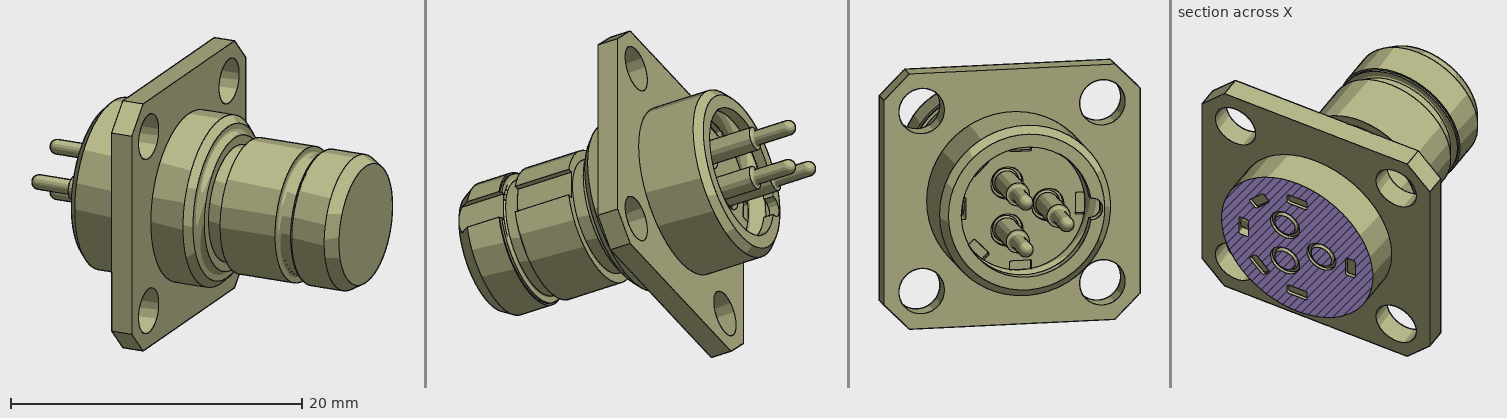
import cadquery as cq
import math


flange_size = 18.0
flange_start = 9.45
flange_end = 11.0
flange_corner_chamfer = 1.8
mount_hole_radius = 1.6
mount_hole_offset = 6.35

body_radius = 6.0
body_start = 4.68
body_end = 13.96
body_chamfer = 0.51
collar_fillet = 0.4
collar_end = 14.48

sleeve_radius = 4.75
neck_radius = 4.1
neck_end = 15.68
groove_radius = 4.16
groove_start = 19.87
groove_end = 21.15
groove_front_fillet = 0.2
groove_rear_fillet = 0.12
groove_lip_radius = 4.63
groove_lip_length = 0.15
nose_start = 23.62
nose_radius = 4.25
overall_length = 24.5
keyway_width = 2.15
keyway_floor_radius = 4.25

cavity_radius = 4.58
cavity_floor = 6.65
lip_thickness = 0.74
undercut_radius = 5.35
ring_tube_radius = 0.83
ring_gap = 0.3
lip_notch_radius = 0.75

slot_inner_radius = 3.85
slot_width = 1.55
slot_depth = 0.45
slot_corner_radius = 0.12
slot_angles = (0, 45, 90, 180, 270, 315)
ridge_angle = 0
ridge_radius = slot_width / 2
ridge_chamfer = 0.15

pin_count = 3
pin_circle_radius = 1.9
first_pin_angle = 60
pin_tip_radius = 0.51
pin_shank_radius = 0.8
pin_shank_start = 3.1
pin_fillet = 0.2
pin_root_radius = 0.93
pin_root_length = 0.25
pin_recess_radius = 1.13
pin_recess_depth = 0.45


def revolved(outline):
    """Turn an XY outline into a solid around the X axis."""
    return outline.close().revolve(360, (0, 0, 0), (1, 0, 0))


def cylinder_along_x(radius, start, end, y=0):
    return cq.Workplane("YZ", origin=(start, y, 0)).circle(radius).extrude(end - start)


def turned_by(shape, angle):
    """Turn a shape around the X axis; angle 0 is +Y and 90 is +Z."""
    return shape.rotate((0, 0, 0), (1, 0, 0), angle)


def make_flange():
    thickness = flange_end - flange_start
    plate = (
        cq.Workplane("YZ", origin=(flange_start, 0, 0))
        .rect(flange_size, flange_size)
        .extrude(thickness)
        .edges("|X")
        .chamfer(flange_corner_chamfer)
    )
    hole_pitch = 2 * mount_hole_offset
    holes = (
        cq.Workplane("YZ", origin=(flange_start, 0, 0))
        .rect(hole_pitch, hole_pitch, forConstruction=True)
        .vertices()
        .circle(mount_hole_radius)
        .extrude(thickness)
    )
    return plate.cut(holes)


def fillet_middle(corner_x, corner_radius, fillet, direction):
    """Middle point of a concave fillet; direction is +1 if it leaves the corner toward +X."""
    sag = fillet * (1 - math.sqrt(0.5))
    return (corner_x + direction * sag, corner_radius + sag)


def make_body():
    chamfered_radius = body_radius - body_chamfer
    lip_start = groove_end - groove_lip_length
    return revolved(
        cq.Workplane("XY")
        .moveTo(body_start, 0)
        .lineTo(body_start, chamfered_radius)
        .lineTo(body_start + body_chamfer, body_radius)
        .lineTo(body_end - body_chamfer, body_radius)
        .lineTo(body_end, chamfered_radius)
        .lineTo(body_end, sleeve_radius + collar_fillet)
        .threePointArc(
            fillet_middle(body_end, sleeve_radius, collar_fillet, 1),
            (body_end + collar_fillet, sleeve_radius),
        )
        .lineTo(collar_end, sleeve_radius)
        .lineTo(collar_end, neck_radius)
        .lineTo(neck_end, neck_radius)
        .lineTo(neck_end, sleeve_radius)
        .lineTo(groove_start, sleeve_radius)
        .lineTo(groove_start, groove_radius + groove_front_fillet)
        .threePointArc(
            fillet_middle(groove_start, groove_radius, groove_front_fillet, 1),
            (groove_start + groove_front_fillet, groove_radius),
        )
        .lineTo(lip_start - groove_rear_fillet, groove_radius)
        .threePointArc(
            fillet_middle(lip_start, groove_radius, groove_rear_fillet, -1),
            (lip_start, groove_radius + groove_rear_fillet),
        )
        .lineTo(lip_start, groove_lip_radius)
        .lineTo(groove_end, groove_lip_radius)
        .lineTo(groove_end, sleeve_radius)
        .lineTo(nose_start, sleeve_radius)
        .lineTo(overall_length, nose_radius)
        .lineTo(overall_length, 0)
    )


def make_keyway():
    """Slot along the +Y side of the sleeve."""
    height = sleeve_radius - keyway_floor_radius
    return cq.Workplane("XY").box(
        overall_length - neck_end, height, keyway_width, centered=(False, False, True)
    ).translate((neck_end, keyway_floor_radius, 0))


def make_cavity():
    bore = cylinder_along_x(cavity_radius, body_start, cavity_floor)
    undercut = cylinder_along_x(undercut_radius, body_start + lip_thickness, cavity_floor)
    lip_notch = cylinder_along_x(
        lip_notch_radius, body_start, body_start + lip_thickness, y=-cavity_radius
    )
    return bore.union(undercut).union(lip_notch)


def make_seal_ring():
    """Rounded ring standing inward from the undercut wall and running into the cavity floor."""
    ring_start = body_start + lip_thickness + ring_gap
    ring_middle = ring_start + ring_tube_radius
    height_at_floor = math.sqrt(ring_tube_radius**2 - (cavity_floor - ring_middle) ** 2)
    return revolved(
        cq.Workplane("XY")
        .moveTo(ring_start, undercut_radius)
        .threePointArc(
            (ring_middle, undercut_radius - ring_tube_radius),
            (cavity_floor, undercut_radius - height_at_floor),
        )
        .lineTo(cavity_floor, body_radius - body_chamfer)
        .lineTo(ring_start, body_radius - body_chamfer)
    )


def make_floor_slot(depth):
    """Rounded rectangular recess at the +Y edge of the cavity floor."""
    length = cavity_radius - slot_inner_radius
    middle = slot_inner_radius + length / 2
    return (
        cq.Workplane("YZ", origin=(cavity_floor, middle, 0))
        .rect(length, slot_width)
        .extrude(depth)
        .edges("|X")
        .fillet(slot_corner_radius)
    )


def make_ridge_slot():
    """Deeper recess whose floor carries a half-round ridge along its length."""
    ridge_base = cavity_floor + slot_depth + ridge_radius
    ridge = (
        cq.Workplane("XZ", origin=(ridge_base, slot_inner_radius, 0))
        .circle(ridge_radius)
        .extrude(-(cavity_radius - slot_inner_radius))
        .faces("<Y")
        .chamfer(ridge_chamfer)
    )
    return make_floor_slot(slot_depth + ridge_radius).cut(ridge)


def make_pin():
    """Stepped pin on the X axis with a domed tip and a flared root."""
    root_end = cavity_floor + pin_recess_depth
    fillet_start = pin_shank_start - pin_fillet
    fillet_sag = pin_fillet * math.sqrt(0.5)
    return revolved(
        cq.Workplane("XY")
        .moveTo(0, 0)
        .threePointArc(
            (pin_tip_radius * (1 - math.sqrt(0.5)), pin_tip_radius * math.sqrt(0.5)),
            (pin_tip_radius, pin_tip_radius),
        )
        .lineTo(fillet_start, pin_tip_radius)
        .threePointArc(
            (fillet_start + fillet_sag, pin_tip_radius + pin_fillet - fillet_sag),
            (pin_shank_start, pin_tip_radius + pin_fillet),
        )
        .lineTo(pin_shank_start, pin_shank_radius)
        .lineTo(root_end - pin_root_length, pin_shank_radius)
        .lineTo(root_end, pin_root_radius)
        .lineTo(root_end, 0)
    )


result = make_flange().union(make_body())
result = result.cut(make_keyway()).cut(make_cavity()).union(make_seal_ring())

for angle in slot_angles:
    slot = make_ridge_slot() if angle == ridge_angle else make_floor_slot(slot_depth)
    result = result.cut(turned_by(slot, angle))

pin_recess = cylinder_along_x(
    pin_recess_radius, cavity_floor, cavity_floor + pin_recess_depth, y=pin_circle_radius
)
pin = make_pin().translate((0, pin_circle_radius, 0))
for index in range(pin_count):
    pin_angle = first_pin_angle + index * 360 / pin_count
    result = result.cut(turned_by(pin_recess, pin_angle))
    result = result.union(turned_by(pin, pin_angle))